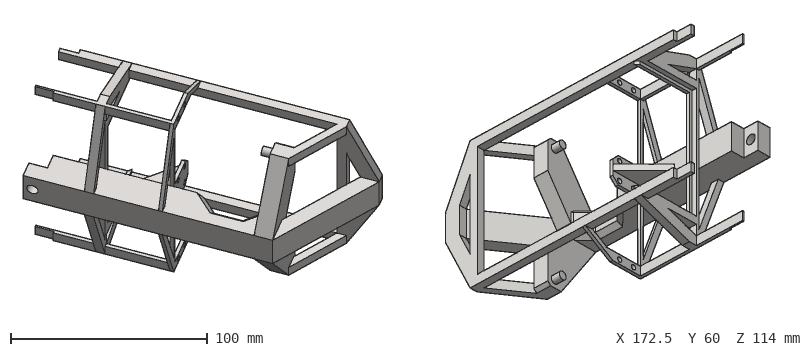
import cadquery as cq
import math


length = 172.5
depth = 60.0
height = 114.0
half_height = height / 2

spine_half_width = 9.0
spine_depth = 18.0
tongue_length = 10.0
tongue_depth = spine_depth / 2
tongue_hole_diameter = 6.0
tongue_hole_x = 5.0
tail_depth = 14.7

notch_floor_y = 7.0
notch_floor_start_x = 98.2
notch_floor_end_x = 116.0
notch_end_angle = 45
bevel_size = 3.0

rail_height = 6.0
rear_rail_thickness = 5.0
rear_rail_top = 45.0
rear_rail_front = depth - rear_rail_thickness
rear_rail_bottom = rear_rail_top - rail_height
rear_rail_end_x = 154.9
rear_tab_thickness = rear_rail_thickness / 2
outer_rail_thickness = 2.0
outer_rail_back = spine_depth + outer_rail_thickness
outer_rail_bottom = half_height - rail_height
outer_tab_thickness = outer_rail_thickness / 2

frame_start_x = 33.0
frame_end_x = 38.0
frame_shoulder_y = 25.0
frame_arm_top = 44.0
frame_window_tip_y = 40.4
lip_thickness = 2.0
front_brace_width = 4.1

plate_thickness = 2.0
plate_end_x = 74.9
plate_start_x = plate_end_x - plate_thickness
plate_back = 40.0
plate_brace_drop = 3.5
plate_corner_chamfer = 4.0
screw_hole_diameter = 3.0
screw_hole_ys = (25.0, 35.0)
screw_hole_zs = (6.0, 54.0)
gusset_thickness = 4.0

block_start_x = 124.2
block_end_x = 134.2
block_shoulder_y = 25.0
block_back = 34.8
block_chamfer = 2.0
block_inner_z = 24.5
pin_diameter = 5.0
pin_length = 5.7
pin_y = 29.8
pin_z = 40.0

post_width = 5.2
panel_window_z = 24.2

tail_slope = (length - block_end_x) / rear_rail_front


def prism_x(points_yz, start, end):
    """Prism along X over an outline of (Y, Z) points."""
    return cq.Workplane("YZ", origin=(start, 0, 0)).polyline(points_yz).close().extrude(end - start)


def prism_y(points_xz, start, end):
    """Prism along Y over an outline of (X, Z) points."""
    return cq.Workplane("XZ", origin=(0, start, 0)).polyline(points_xz).close().extrude(start - end)


def prism_z(points_xy, start, end):
    """Prism along Z over an outline of (X, Y) points."""
    return cq.Workplane("XY", origin=(0, 0, start)).polyline(points_xy).close().extrude(end - start)


def box(x_range, y_range, z_range):
    """Box between the given limits."""
    sizes = [high - low for low, high in (x_range, y_range, z_range)]
    corner = (x_range[0], y_range[0], z_range[0])
    return cq.Workplane("XY").box(*sizes, centered=False).translate(corner)


def notch_cutter():
    """Trapezoid through the spine that narrows from each side face down the bevel."""
    mouth_y = spine_depth + 2 * bevel_size

    def outline(inset):
        floor_y = notch_floor_y + inset
        corner_shift = inset * math.tan(math.radians(notch_end_angle / 2))
        end_run = (mouth_y - floor_y) / math.tan(math.radians(notch_end_angle))
        start_x = notch_floor_start_x + corner_shift
        end_x = notch_floor_end_x - corner_shift
        return [
            (start_x, floor_y),
            (end_x, floor_y),
            (end_x + end_run, mouth_y),
            (start_x - end_run, mouth_y),
        ]

    cutter = prism_z(outline(bevel_size), -spine_half_width, spine_half_width)
    bevel = (
        cq.Workplane("XY", origin=(0, 0, spine_half_width - bevel_size))
        .polyline(outline(bevel_size)).close()
        .workplane(offset=bevel_size)
        .polyline(outline(0)).close()
        .loft(ruled=True)
    )
    return cutter.union(bevel).union(bevel.mirror("XY"))


def spine():
    outline = [
        (0, 0),
        (block_end_x, 0),
        (block_end_x, spine_depth),
        (tongue_length, spine_depth),
        (tongue_length, tongue_depth),
        (0, tongue_depth),
    ]
    hole = (
        cq.Workplane("XZ", origin=(tongue_hole_x, 0, 0))
        .circle(tongue_hole_diameter / 2)
        .extrude(-tongue_depth)
    )
    bar = prism_z(outline, -spine_half_width, spine_half_width)
    return bar.cut(hole).cut(notch_cutter())


def tail():
    """Sloping end of the spine, rising to the rear panel."""
    back_x = block_end_x + (rear_rail_front - tail_depth) * tail_slope
    outline = [
        (block_end_x, 0),
        (length, rear_rail_front),
        (length, depth),
        (back_x, depth),
        (back_x, rear_rail_front),
        (block_end_x, tail_depth),
    ]
    return prism_z(outline, -spine_half_width, spine_half_width)


def rear_rail():
    z_range = (rear_rail_bottom, rear_rail_top)
    tab = box((0, tongue_length), (rear_rail_front, rear_rail_front + rear_tab_thickness), z_range)
    return box((tongue_length, rear_rail_end_x), (rear_rail_front, depth), z_range).union(tab)


def outer_rail():
    z_range = (outer_rail_bottom, half_height)
    tab = box((0, tongue_length), (outer_rail_back - outer_tab_thickness, outer_rail_back), z_range)
    return box((tongue_length, plate_end_x), (spine_depth, outer_rail_back), z_range).union(tab)


def front_brace(start_x, end_x):
    """Post behind the spine and the brace that slopes from its end down to the spine."""
    post = box((start_x, end_x), (spine_depth, outer_rail_back), (0, half_height))
    outline = [
        (0, spine_half_width),
        (spine_depth, half_height),
        (spine_depth + front_brace_width, half_height),
        (front_brace_width, spine_half_width),
    ]
    front_half = box((start_x, end_x), (0, outer_rail_back), (0, half_height))
    return post.union(prism_x(outline, start_x, end_x).intersect(front_half))


def first_frame():
    """Cross frame with a windowed arm and a lip around its inner edge."""
    arm_outline = [
        (spine_depth, rear_rail_bottom),
        (depth, rear_rail_bottom),
        (depth, rear_rail_top),
        (frame_shoulder_y, half_height),
        (spine_depth, half_height),
    ]
    window = [
        (outer_rail_back, frame_arm_top),
        (frame_window_tip_y, frame_arm_top),
        (outer_rail_back, outer_rail_bottom),
    ]
    arm = prism_x(arm_outline, frame_start_x, frame_end_x)
    arm = arm.cut(prism_x(window, frame_start_x, frame_end_x))

    lip_start_x = frame_end_x - lip_thickness
    lip_z = rear_rail_bottom - lip_thickness
    post_lip = box(
        (lip_start_x, frame_end_x),
        (outer_rail_back, outer_rail_back + lip_thickness),
        (0, rear_rail_bottom),
    )
    arm_lip_outline = [
        (lip_start_x, outer_rail_back),
        (frame_end_x, outer_rail_back),
        (frame_end_x, depth),
        (lip_start_x, depth - lip_thickness),
    ]
    arm_lip = prism_z(arm_lip_outline, lip_z, rear_rail_bottom)
    return front_brace(frame_start_x, frame_end_x).union(arm).union(post_lip).union(arm_lip)


def second_frame():
    """Thin cross frame: an outer screw plate bent down to the rear rail, and a middle plate."""
    brace_slope = (half_height - rear_rail_top) / (depth - plate_back)
    bend_y = depth - (outer_rail_bottom + plate_brace_drop - rear_rail_top) / brace_slope
    outer_plate_outline = [
        (spine_depth, half_height),
        (plate_back, half_height),
        (depth, rear_rail_top),
        (depth, rear_rail_top - plate_brace_drop),
        (bend_y, outer_rail_bottom),
        (spine_depth, outer_rail_bottom),
    ]
    middle_plate_outline = [
        (spine_depth, 0),
        (plate_back, 0),
        (plate_back, spine_half_width - plate_corner_chamfer),
        (plate_back - plate_corner_chamfer, spine_half_width),
        (spine_depth, spine_half_width),
    ]
    holes = (
        cq.Workplane("YZ", origin=(plate_start_x, 0, 0))
        .pushPoints([(y, z) for y in screw_hole_ys for z in screw_hole_zs])
        .circle(screw_hole_diameter / 2)
        .extrude(plate_thickness)
    )
    frame = front_brace(plate_start_x, plate_end_x)
    for outline in (outer_plate_outline, middle_plate_outline):
        frame = frame.union(prism_x(outline, plate_start_x, plate_end_x))
    return frame.cut(holes)


def gusset():
    """45 degree rib between the spine and the middle screw plate."""
    outline = [
        (plate_start_x, spine_depth),
        (plate_start_x, plate_back),
        (plate_start_x - (plate_back - spine_depth), spine_depth),
    ]
    return prism_z(outline, -gusset_thickness / 2, gusset_thickness / 2)


def end_block():
    outline = [
        (0, 0),
        (0, spine_half_width),
        (block_shoulder_y, rear_rail_top),
        (block_back - block_chamfer, rear_rail_top),
        (block_back, rear_rail_top - block_chamfer),
        (block_back, block_inner_z),
        (spine_depth, 0),
    ]
    pin = (
        cq.Workplane("YZ", origin=(block_start_x - pin_length, 0, 0))
        .center(pin_y, pin_z)
        .circle(pin_diameter / 2)
        .extrude(pin_length)
    )
    return prism_x(outline, block_start_x, block_end_x).union(pin)


def strut():
    """Sloping bar from the end block up to the end of the rear rail."""
    strut_back = block_back - block_chamfer
    outline = [
        (block_end_x, block_shoulder_y),
        (rear_rail_end_x, rear_rail_front),
        (block_end_x + (rear_rail_front - strut_back) * tail_slope, rear_rail_front),
        (block_end_x, strut_back),
    ]
    return prism_z(outline, rear_rail_bottom, rear_rail_top)


def rear_panel():
    """Post across the rail ends and a brace sloping from each rail to the tail."""
    brace_slope = (length - rear_rail_end_x) / (rear_rail_top - spine_half_width)
    outline = [
        (rear_rail_end_x - post_width, 0),
        (length, 0),
        (length, spine_half_width),
        (rear_rail_end_x, rear_rail_top),
        (rear_rail_end_x - post_width, rear_rail_top),
    ]
    window = [
        (rear_rail_end_x, 0),
        (rear_rail_end_x + panel_window_z * brace_slope, 0),
        (rear_rail_end_x, panel_window_z),
    ]
    return prism_y(outline, rear_rail_front, depth).cut(prism_y(window, rear_rail_front, depth))


upper_half = rear_rail()
for feature in (outer_rail, first_frame, second_frame, end_block, strut, rear_panel):
    upper_half = upper_half.union(feature())

result = upper_half.union(upper_half.mirror("XY"))
for feature in (spine, tail, gusset):
    result = result.union(feature())